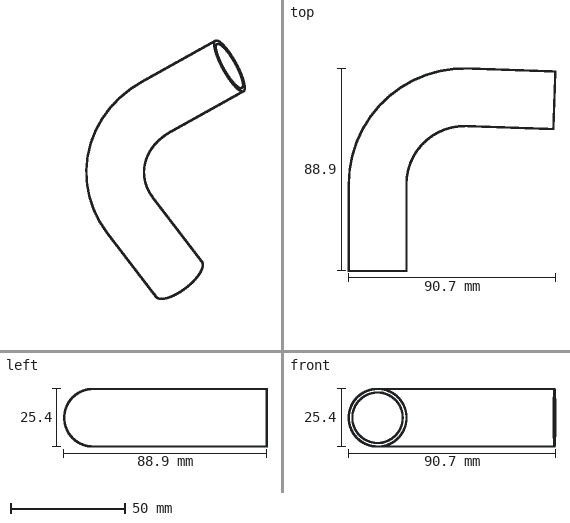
import cadquery as cq
import math

overall_length = 90.65
outer_diameter = 25.4
inner_diameter = 22.1
bend_radius = 1.5 * outer_diameter
bend_angle = 92.0

turn = math.radians(bend_angle)
past_square = turn - math.pi / 2

outer_bend_radius = bend_radius + outer_diameter / 2
bend_reach = outer_bend_radius * (1 + math.sin(past_square))
leg_length = (overall_length - bend_reach) / math.cos(past_square)


def bend_point(angle):
    """Point on the bend centreline after turning through angle (radians)."""
    return (bend_radius * (1 - math.cos(angle)), bend_radius * math.sin(angle))


bend_end_x, bend_end_y = bend_point(turn)
far_end = (
    bend_end_x + leg_length * math.sin(turn),
    bend_end_y + leg_length * math.cos(turn),
)
centreline = (
    cq.Workplane("XY")
    .moveTo(0, -leg_length)
    .lineTo(0, 0)
    .threePointArc(bend_point(turn / 2), (bend_end_x, bend_end_y))
    .lineTo(*far_end)
)

result = (
    cq.Workplane("XZ", origin=(0, -leg_length, 0))
    .circle(outer_diameter / 2)
    .circle(inner_diameter / 2)
    .sweep(centreline)
)